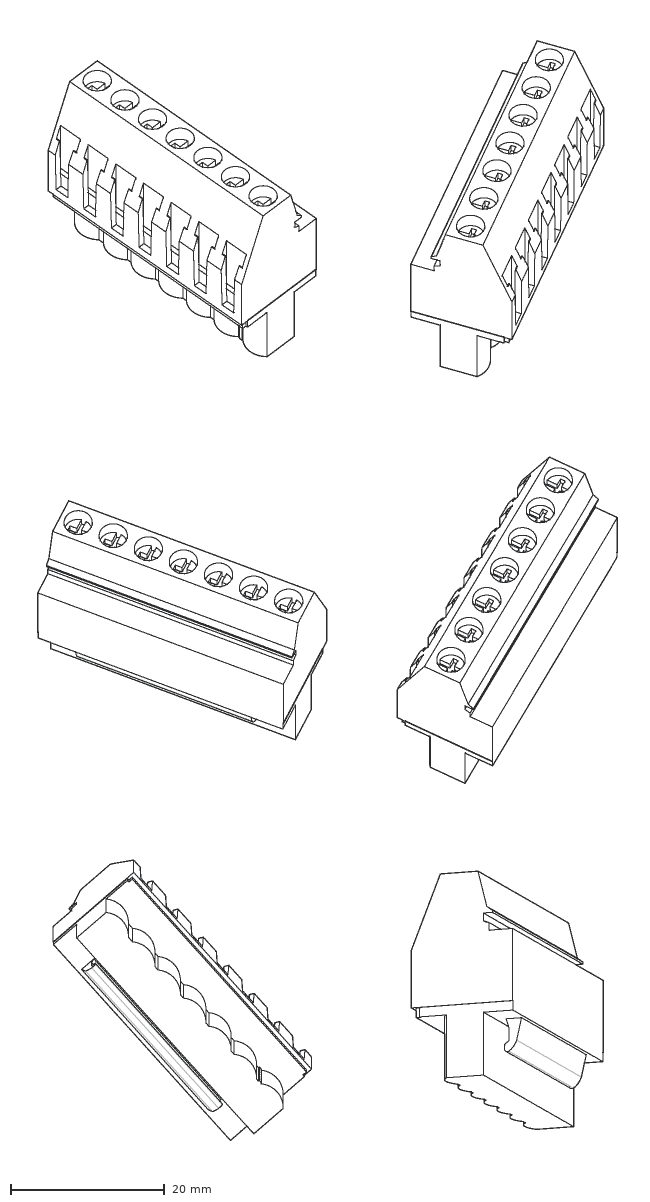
import cadquery as cq


length = 35.0
depth = 14.05
height = 27.2
poles = 7
pitch = length / poles
pole_positions = [(i - (poles - 1) / 2) * pitch for i in range(poles)]

housing_bottom = 9.62
front_wall_top = 17.3
roof_front = 4.02
roof_back = 9.25
shelf_height = 19.2
lip_root_y = 10.45
lip_root_z = 22.4
lip_tip_y = 11.25
lip_tip_z = 21.85
lip_underside = 21.55
groove_floor_y = 9.98
groove_bottom = 20.55
groove_step_y = 10.78
groove_step_z = 20.23

lower_side_inset = 0.07
lower_length = length - 2 * lower_side_inset
plate_bottom = 8.35
plate_front = 0.55
corner_notch_length = 0.28
corner_notch_depth = 0.6

plug_front = 4.0
plug_back = 9.98
column_width = 4.4
column_bulge = 0.88
column_root = plug_front + column_bulge
end_column_center = (lower_length - column_width) / 2
ridge_width = 0.45
ridge_depth = 0.15

hook_poles = 5
hook_length = hook_poles * pitch
hook_back_root_y = 13.48
hook_front_root_y = 11.35
hook_back_bend = (12.8, 5.42)
hook_back_middle = (12.35, 4.62)
hook_tip = (11.72, 4.02)
hook_tip_middle = (11.27, 4.05)
hook_nose_y = 11.1
hook_nose_bottom = 4.4
hook_nose_top = 4.95
hook_throat_y = 11.72
hook_throat_bottom = 5.42
hook_throat_top = 7.2

opening_top = 21.25
slit_shoulder = 19.3
pocket_floor = 13.2
slit_floor = 10.92
pocket_width = 3.6
slit_top_width = 2.52
slit_bottom_width = 2.1
pocket_back = (opening_top - front_wall_top) / (height - front_wall_top) * roof_front
front_wall_thickness = 0.9

screw_y = (roof_front + roof_back) / 2
screw_diameter = 3.68
screw_recess = 2.1
screw_length = 2.8
slot_width = 0.65
slot_depth = 1.05
cross_slot_length = 2.6


def box(x_size, y_range, z_range, x_center=0.0):
    """Box centred on x_center and spanning the given Y and Z ranges."""
    y_start, y_end = y_range
    z_start, z_end = z_range
    return (
        cq.Workplane("XY")
        .box(x_size, y_end - y_start, z_end - z_start, centered=(True, False, False))
        .translate((x_center, y_start, z_start))
    )


def upper_housing():
    """Side profile with the sloped front and the lip and groove at the back."""
    profile = [
        (0, housing_bottom),
        (0, front_wall_top),
        (roof_front, height),
        (roof_back, height),
        (lip_root_y, lip_root_z),
        (lip_tip_y, lip_tip_z),
        (lip_tip_y, lip_underside),
        (groove_floor_y, lip_underside),
        (groove_floor_y, groove_bottom),
        (groove_step_y, groove_step_z),
        (groove_step_y, shelf_height),
        (depth, shelf_height),
        (depth, housing_bottom),
    ]
    return cq.Workplane("YZ").polyline(profile).close().extrude(length / 2, both=True)


def base_plate():
    """Plate set back from the front wall, with its two front corners notched."""
    z_range = (plate_bottom, housing_bottom)
    notch_back = plate_front + corner_notch_depth
    front_strip = box(lower_length - 2 * corner_notch_length, (plate_front, notch_back), z_range)
    return box(lower_length, (notch_back, depth), z_range).union(front_strip)


def column(x_center):
    """Plug column with a flat back and a bulged front."""
    left = x_center - column_width / 2
    right = x_center + column_width / 2
    return (
        cq.Workplane("XY")
        .moveTo(left, plug_back)
        .lineTo(left, column_root)
        .threePointArc((x_center, plug_front), (right, column_root))
        .lineTo(right, plug_back)
        .close()
        .extrude(plate_bottom)
    )


def plug():
    """Common block with one column per pole and a small ridge before the last."""
    body = box(lower_length, (column_root, plug_back), (0, plate_bottom))
    centers = [-end_column_center, *pole_positions[1:-1], end_column_center]
    for x in centers:
        body = body.union(column(x))
    ridge_center = lower_length / 2 - column_width - ridge_width / 2
    ridge_front = column_root - ridge_depth
    ridge = box(ridge_width, (ridge_front, plug_back), (0, plate_bottom), ridge_center)
    return body.union(ridge)


def latch_hook():
    """Curved finger hanging from the plate, with its nose towards the plug."""
    return (
        cq.Workplane("YZ")
        .moveTo(hook_back_root_y, plate_bottom)
        .lineTo(*hook_back_bend)
        .threePointArc(hook_back_middle, hook_tip)
        .threePointArc(hook_tip_middle, (hook_nose_y, hook_nose_bottom))
        .lineTo(hook_nose_y, hook_nose_top)
        .lineTo(hook_throat_y, hook_throat_bottom)
        .lineTo(hook_throat_y, hook_throat_top)
        .lineTo(hook_front_root_y, plate_bottom)
        .close()
        .extrude(hook_length / 2, both=True)
    )


def wire_opening(x_center):
    """Wide pocket behind the front wall, open above the shoulders and through a tapering slit below."""
    pocket = box(pocket_width, (front_wall_thickness, pocket_back), (pocket_floor, opening_top), x_center)
    mouth = box(pocket_width, (0, front_wall_thickness), (slit_shoulder, opening_top), x_center)
    half_top = slit_top_width / 2
    half_bottom = slit_bottom_width / 2
    slit_outline = [
        (x_center - half_top, slit_shoulder),
        (x_center + half_top, slit_shoulder),
        (x_center + half_bottom, slit_floor),
        (x_center - half_bottom, slit_floor),
    ]
    slit = cq.Workplane("XZ").polyline(slit_outline).close().extrude(-front_wall_thickness)
    return pocket.union(mouth).union(slit)


def screw_hole(x_center):
    """Hole from the roof down to the underside of the screw."""
    hole_depth = screw_recess + screw_length
    return (
        cq.Workplane("XY", origin=(x_center, screw_y, height - hole_depth))
        .circle(screw_diameter / 2)
        .extrude(hole_depth)
    )


def make_housing():
    body = upper_housing().union(base_plate()).union(plug()).union(latch_hook())
    for x in pole_positions:
        body = body.cut(wire_opening(x)).cut(screw_hole(x))
    return body


def make_screw(x_center):
    """Screw with one slot right across its face and a shorter one crossing it."""
    top = height - screw_recess
    slot_center_z = top - slot_depth / 2
    blank = (
        cq.Workplane("XY", origin=(x_center, screw_y, top - screw_length))
        .circle(screw_diameter / 2)
        .extrude(screw_length)
    )
    slot_center = (x_center, screw_y, slot_center_z)
    long_slot = cq.Workplane("XY").box(slot_width, screw_diameter, slot_depth).translate(slot_center)
    cross_slot = cq.Workplane("XY").box(cross_slot_length, slot_width, slot_depth).translate(slot_center)
    return blank.cut(long_slot).cut(cross_slot)


housing = make_housing()
screws = [make_screw(x) for x in pole_positions]

result = cq.Compound.makeCompound([housing.val(), *[screw.val() for screw in screws]])